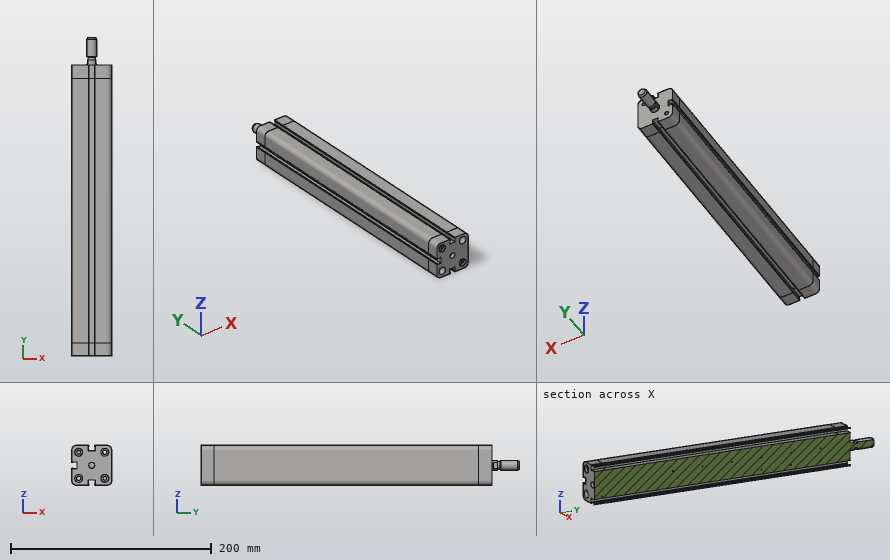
import cadquery as cq
import math


body_length = 290.0
front_cap_length = 13.5
rear_cap_length = 13.0
barrel_width = 40.1
cap_width = 40.0
corner_radius = 5.0

slot_mouth_width = 5.5
slot_inner_width = 6.6
slot_depth = 5.3
slot_lip = 1.2
mouth_chamfer = 0.25

screw_offset = 13.0
counterbore_diameter = 7.9
counterbore_depth = 8.0
through_diameter = 4.13
plug_entry_diameter = 8.0
plug_entry_depth = 0.5
plug_diameter = 7.5
plug_depth = 3.0
socket_flats = 3.8
socket_depth = 2.0
port_diameter = 6.0
port_depth = 5.0

rod_diameter = 10.0
rod_length = 27.0
collar_length = 5.0
neck_length = 3.5
neck_diameter = 7.9
thread_chamfer = 1.0
tip_chamfer_length = 2.0
tip_diameter = 8.0
flat_width = 8.0
flat_length = 3.6


def rounded_bar(width, y_start, length):
    """Square bar along Y with rounded long edges."""
    bar = cq.Workplane("XY").box(width, length, width)
    bar = bar.edges("|Y").fillet(corner_radius)
    return bar.translate((0, y_start + length / 2, 0))


def slot_cutter(width, y_start, length):
    """T-shaped slot with a chamfered mouth in the +Z side of a bar of the given width."""
    surface = width / 2
    floor = surface - slot_depth
    under_lip = surface - slot_lip
    mouth_half = slot_mouth_width / 2
    inner_half = slot_inner_width / 2
    right_side = [
        (inner_half, floor),
        (inner_half, under_lip),
        (mouth_half, under_lip),
        (mouth_half, surface - mouth_chamfer),
        (mouth_half + mouth_chamfer, surface),
    ]
    left_side = [(-x, z) for x, z in reversed(right_side)]
    profile = cq.Workplane("XZ", origin=(0, y_start, 0)).polyline(right_side + left_side).close()
    return profile.extrude(-length)


def slotted_bar(width, y_start, length):
    """Rounded bar with a slot in the +Z, -Z and -X sides."""
    bar = rounded_bar(width, y_start, length)
    slot = slot_cutter(width, y_start, length)
    for angle in (0, 180, -90):
        bar = bar.cut(slot.rotate((0, 0, 0), (0, 1, 0), angle))
    return bar


def rear_hole(x, z, diameter, depth):
    """Cylinder cut into the body from the rear face."""
    return cq.Workplane("XY").add(
        cq.Solid.makeCylinder(diameter / 2, depth, cq.Vector(x, -body_length, z), cq.Vector(0, 1, 0))
    )


def make_body():
    """Barrel joined to a slightly narrower cap at each end."""
    barrel_length = body_length - front_cap_length - rear_cap_length
    rear_cap = slotted_bar(cap_width, -body_length, rear_cap_length)
    barrel = slotted_bar(barrel_width, rear_cap_length - body_length, barrel_length)
    front_cap = slotted_bar(cap_width, -front_cap_length, front_cap_length)
    return rear_cap.union(barrel).union(front_cap)


def hex_socket(x, z):
    """Hexagonal socket with corners toward +Z and -Z, sunk below the plugged hole's floor."""
    floor_y = plug_depth - body_length
    corner_diameter = socket_flats / math.cos(math.pi / 6)
    return (
        cq.Workplane("XZ", origin=(x, floor_y, z))
        .transformed(rotate=(0, 0, 90))
        .polygon(6, corner_diameter)
        .extrude(-socket_depth)
    )


def cut_rear_holes(body):
    """Central blind port, two through holes and two plugged holes on opposite corners."""
    body = body.cut(rear_hole(0, 0, port_diameter, port_depth))
    for side in (-1, 1):
        x = side * screw_offset
        body = body.cut(rear_hole(x, x, counterbore_diameter, counterbore_depth))
        body = body.cut(rear_hole(x, x, through_diameter, body_length))
        body = body.cut(rear_hole(x, -x, plug_entry_diameter, plug_entry_depth))
        body = body.cut(rear_hole(x, -x, plug_diameter, plug_depth))
        body = body.cut(hex_socket(x, -x))
    return body


def make_rod():
    """Turned rod end: collar, relief neck and chamfered thread, with two ramped flats on the collar."""
    rod_radius = rod_diameter / 2
    neck_end = collar_length + neck_length
    rod = (
        cq.Workplane("XY")
        .moveTo(0, 0)
        .lineTo(rod_radius, 0)
        .lineTo(rod_radius, collar_length)
        .lineTo(neck_diameter / 2, collar_length)
        .lineTo(neck_diameter / 2, neck_end - thread_chamfer)
        .lineTo(rod_radius, neck_end)
        .lineTo(rod_radius, rod_length - tip_chamfer_length)
        .lineTo(tip_diameter / 2, rod_length)
        .lineTo(0, rod_length)
        .close()
        .revolve(360, (0, 0, 0), (0, 1, 0))
    )
    flat_face = flat_width / 2
    flat_start = collar_length - flat_length
    flat_profile = [
        (flat_face, collar_length),
        (flat_face, flat_start),
        (rod_radius, flat_start - (rod_radius - flat_face)),
        (rod_radius, collar_length),
    ]
    flat = cq.Workplane("XY").polyline(flat_profile).close().extrude(rod_radius, both=True)
    return rod.cut(flat).cut(flat.mirror("YZ"))


result = cut_rear_holes(make_body()).union(make_rod())